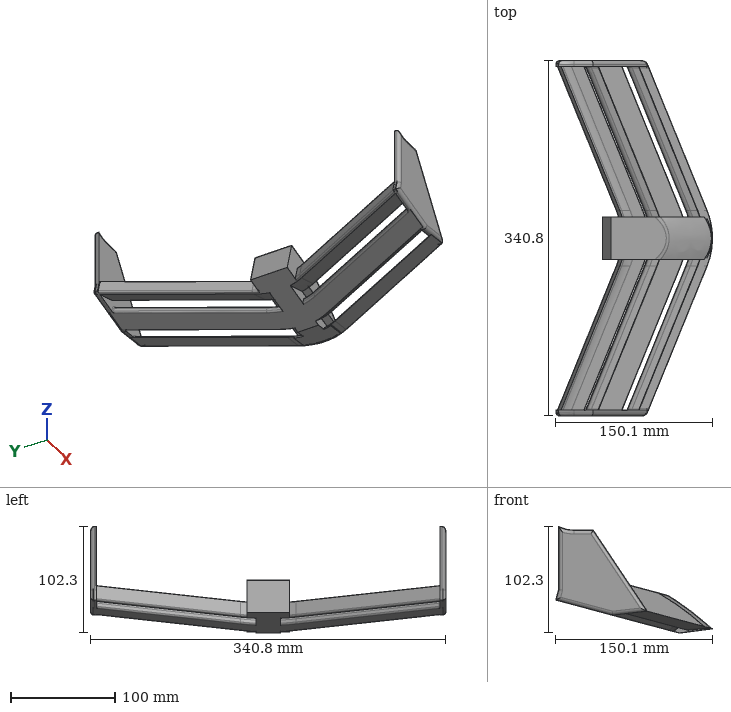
import cadquery as cq
import math

PITCH = 15.0
SPAN = 340.8

SWEEP_ANGLE = 22.9
BEND_RADIUS = 68.0
WING_APEX = 24.5
WING_HALF_SPAN = SPAN / 2 - 2.7

CHORD = 87.2
WING_HEIGHT = 12.3
EDGE_HEIGHT = 14.5
LIP_LENGTH = 2.0
LIP_HEIGHT = 14.0
FLAT_START = 11.0
BOTTOM_ROUND = 1.7
KICK_START = 56.0

SLAT_WALL = 28.0
SLAT_PITCH = 40.2
SLAT_NOSE_RADIUS = 4.5
SLAT_NOSE_START = 4.8
RAMP_ANGLE = 15.0
RAMP_LENGTH = 6.5
FIRST_SLAT_TOP_END = 23.5
FIRST_SLAT_BOTTOM_END = 3.7
FIRST_SLAT_HOLLOW = (17.7, 8.5)
SECOND_SLAT_TOP_END = 61.0
SECOND_SLAT_BOTTOM_END = 52.8
SLOT_INNER_END = 11.5
CUT_MARGIN = 3.5

NOSE_WIDTH = 41.0
NOSE_HEIGHT = 32.0
NOSE_LENGTH = 105.3
NOSE_KICK_START = 76.5
NOSE_TIP_HEIGHT = 12.0
NOSE_FLAT_LENGTH = 56.2
NOSE_BLEND = 10.2
CROWN_AXIS = -44.3
CROWN_BACK = (27.3, 39.0)

PLATE_THICKNESS = 5.8
PLATE_ROUND = 3.7
PLATE_TOP = 82.5
PLATE_TOP_DIP = 3.5
PLATE_DIP_LENGTH = 14.5
PLATE_TOP_LENGTH = 33.0
PLATE_LEAN_HEIGHT = 10.2
JOINT_ROUND = 1.5


def pitched(u, w):
    """Turn a flat (u, w) point into the pitched (x, z) point."""
    angle = math.radians(PITCH)
    x = u * math.cos(angle) + w * math.sin(angle)
    z = w * math.cos(angle) - u * math.sin(angle)
    return x, z


def v_offset(y):
    """Fore-aft position, on the straight arm, of the V at a distance y from the middle."""
    return -y * math.tan(math.radians(SWEEP_ANGLE))


def swept_along_wing(section):
    """Carry a wing section, without turning it, along the rounded V from tip to tip."""
    bend = math.radians(SWEEP_ANGLE)
    bend_y = BEND_RADIUS * math.sin(bend)
    bend_u = v_offset(bend_y)
    middle_u = -BEND_RADIUS * (1 / math.cos(bend) - 1)
    tip_u = v_offset(WING_HALF_SPAN)
    path = (
        cq.Workplane("XY")
        .moveTo(tip_u, -WING_HALF_SPAN)
        .lineTo(bend_u, -bend_y)
        .threePointArc((middle_u, 0), (bend_u, bend_y))
        .lineTo(tip_u, WING_HALF_SPAN)
    )
    tip_section = section.val().translate(cq.Vector(WING_APEX + tip_u, -WING_HALF_SPAN, 0))
    return cq.Workplane("XZ").add(tip_section).toPending().sweep(path, normal=(0, 1, 0))


def wing_blank():
    section = (
        cq.Workplane("XZ")
        .moveTo(CHORD, WING_HEIGHT)
        .lineTo(FLAT_START, WING_HEIGHT)
        .tangentArcPoint((LIP_LENGTH, LIP_HEIGHT), relative=False)
        .lineTo(0, EDGE_HEIGHT)
        .lineTo(0, BOTTOM_ROUND)
        .radiusArc((BOTTOM_ROUND, 0), -BOTTOM_ROUND)
        .lineTo(KICK_START, 0)
        .close()
    )
    return swept_along_wing(section)


def slat_front(outline, wall):
    """Continue a slot outline up the round front and ramp of the next slat, to the flat top."""
    angle = math.radians(RAMP_ANGLE)
    nose_end_u = wall + SLAT_NOSE_RADIUS * (1 - math.sin(angle))
    nose_end_w = SLAT_NOSE_START + SLAT_NOSE_RADIUS * math.cos(angle)
    ramp_end_u = nose_end_u + RAMP_LENGTH
    ramp_end_w = nose_end_w + RAMP_LENGTH * math.tan(angle)
    return (
        outline.lineTo(wall, SLAT_NOSE_START)
        .radiusArc((nose_end_u, nose_end_w), SLAT_NOSE_RADIUS)
        .lineTo(ramp_end_u, ramp_end_w)
        .lineTo(ramp_end_u, WING_HEIGHT)
    )


def slots():
    first = (
        cq.Workplane("XZ")
        .moveTo(FIRST_SLAT_BOTTOM_END, -CUT_MARGIN)
        .lineTo(SLAT_WALL + BOTTOM_ROUND, -CUT_MARGIN)
        .lineTo(SLAT_WALL + BOTTOM_ROUND, 0)
        .radiusArc((SLAT_WALL, BOTTOM_ROUND), BOTTOM_ROUND)
    )
    first = (
        slat_front(first, SLAT_WALL)
        .lineTo(FIRST_SLAT_TOP_END, WING_HEIGHT)
        .threePointArc(FIRST_SLAT_HOLLOW, (FIRST_SLAT_BOTTOM_END, 0))
        .close()
    )
    second_wall = SLAT_WALL + SLAT_PITCH
    second = (
        cq.Workplane("XZ")
        .moveTo(SECOND_SLAT_BOTTOM_END, -CUT_MARGIN)
        .lineTo(second_wall, -CUT_MARGIN)
    )
    second = (
        slat_front(second, second_wall)
        .lineTo(SECOND_SLAT_TOP_END, WING_HEIGHT)
        .lineTo(SECOND_SLAT_BOTTOM_END, 0)
        .close()
    )
    web = cq.Workplane("XY").box(2 * SPAN, 2 * SLOT_INNER_END, SPAN)
    return [swept_along_wing(s).cut(web) for s in (first, second)]


def nose():
    """Square block whose sloping top is a crowned surface turned about a fore-aft axis."""
    block = (
        cq.Workplane("XZ")
        .polyline(
            [
                (0, 0),
                (0, NOSE_HEIGHT),
                (NOSE_LENGTH, NOSE_HEIGHT),
                (NOSE_LENGTH, NOSE_TIP_HEIGHT),
                (NOSE_KICK_START, 0),
            ]
        )
        .close()
        .extrude(NOSE_WIDTH / 2, both=True)
    )
    crown = (
        cq.Workplane("XZ")
        .moveTo(-CUT_MARGIN, CROWN_AXIS)
        .lineTo(-CUT_MARGIN, CROWN_BACK[1])
        .lineTo(*CROWN_BACK)
        .threePointArc((NOSE_FLAT_LENGTH, NOSE_HEIGHT), (NOSE_LENGTH, NOSE_TIP_HEIGHT))
        .lineTo(NOSE_LENGTH, CROWN_AXIS)
        .close()
        .revolve(360, (0, CROWN_AXIS), (1, CROWN_AXIS))
    )
    crest = cq.selectors.NearestToPointSelector((NOSE_FLAT_LENGTH, 0, NOSE_HEIGHT))
    return block.intersect(crown).edges(crest).fillet(NOSE_BLEND)


def end_plate():
    """Upright plate at the +Y tip, rounded along its outer rim."""
    front_u = WING_APEX + v_offset((SPAN - PLATE_THICKNESS) / 2)
    bottom = pitched(front_u, 0)
    lean = pitched(front_u, PLATE_LEAN_HEIGHT)
    kick = pitched(front_u + KICK_START, 0)
    tip = pitched(front_u + CHORD, WING_HEIGHT)
    dip_z = PLATE_TOP - PLATE_TOP_DIP
    plate = (
        cq.Workplane("XZ", origin=(0, SPAN / 2, 0))
        .moveTo(*bottom)
        .lineTo(*lean)
        .lineTo(lean[0], PLATE_TOP)
        .spline(
            [(lean[0], PLATE_TOP), (lean[0] + PLATE_DIP_LENGTH, dip_z)],
            tangents=[(1, -0.5), (1, 0)],
        )
        .lineTo(lean[0] + PLATE_TOP_LENGTH, dip_z)
        .lineTo(*tip)
        .lineTo(*kick)
        .close()
        .extrude(PLATE_THICKNESS)
    )
    return plate.faces(">Y").edges().fillet(PLATE_ROUND)


def joint_edges(solid, side):
    """Top edges of the second and third slats along the inner face of one plate."""
    inner_face = SPAN / 2 - PLATE_THICKNESS
    front_u = WING_APEX + v_offset(inner_face)
    edges = []
    for slat_wall in (SLAT_WALL, SLAT_WALL + SLAT_PITCH):
        ramp_middle = slat_wall + RAMP_LENGTH
        flat_start = slat_wall + 2 * RAMP_LENGTH
        for u in (ramp_middle, flat_start):
            x, z = pitched(front_u + u, WING_HEIGHT)
            spot = cq.selectors.NearestToPointSelector((x, side * inner_face, z))
            edges += solid.edges(spot).vals()
    return edges


body = wing_blank().union(nose())
for slot in slots():
    body = body.cut(slot)
body = body.rotate((0, 0, 0), (0, 1, 0), PITCH)

plate = end_plate()
result = body.union(plate).union(plate.mirror("XZ"))
joints = joint_edges(result, -1) + joint_edges(result, 1)
result = result.newObject(joints).fillet(JOINT_ROUND)